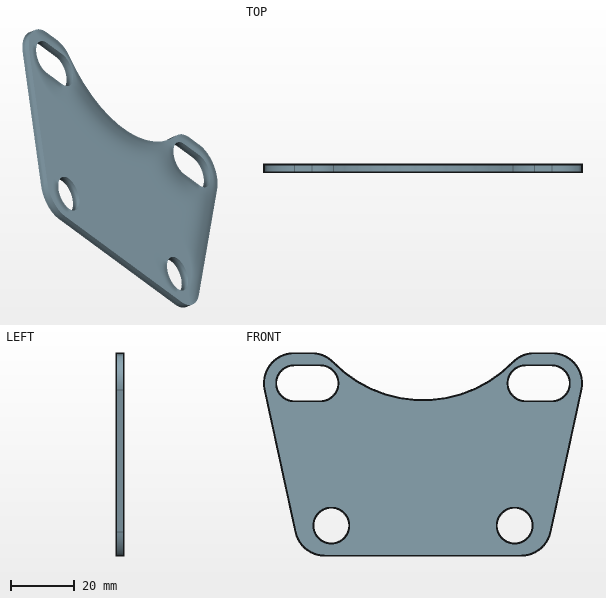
import cadquery as cq
import math

width = 99.7
height = 63.5
thickness = 2.5
corner_radius = 9.5

hole_diameter = 11.2
slot_length = 19.4
hole_spacing = 57.4

bottom_flat = 61.4
ear_flat = 5.5
saddle_radius = 39.2

top_z = height / 2
bottom_z = -height / 2
ear_outer_x = width / 2 - corner_radius
ear_inner_x = ear_outer_x - ear_flat
ear_z = top_z - corner_radius
foot_x = bottom_flat / 2
foot_z = bottom_z + corner_radius

side_angle = -math.atan2(ear_outer_x - foot_x, ear_z - foot_z)

saddle_rise = math.sqrt((saddle_radius + corner_radius) ** 2 - ear_inner_x ** 2)
saddle_bottom = (0, ear_z + saddle_rise - saddle_radius)
saddle_angle = math.atan2(saddle_rise, -ear_inner_x)


def on_rounding(center_x, center_z, angle):
    """Point on a corner rounding, at an angle from +X toward +Z."""
    return (
        center_x + corner_radius * math.cos(angle),
        center_z + corner_radius * math.sin(angle),
    )


def mirrored(point):
    """The same point on the other side of X = 0."""
    return (-point[0], point[1])


def both_sides(x, z):
    return [(-x, z), (x, z)]


def make_plate():
    up = math.pi / 2
    down = -math.pi / 2

    foot_start = (foot_x, bottom_z)
    foot_middle = on_rounding(foot_x, foot_z, (down + side_angle) / 2)
    foot_end = on_rounding(foot_x, foot_z, side_angle)
    ear_start = on_rounding(ear_outer_x, ear_z, side_angle)
    ear_middle = on_rounding(ear_outer_x, ear_z, (side_angle + up) / 2)
    ear_end = (ear_outer_x, top_z)
    inner_start = (ear_inner_x, top_z)
    inner_middle = on_rounding(ear_inner_x, ear_z, (up + saddle_angle) / 2)
    inner_end = on_rounding(ear_inner_x, ear_z, saddle_angle)

    return (
        cq.Workplane("XZ", origin=(0, thickness / 2, 0))
        .moveTo(*foot_start)
        .threePointArc(foot_middle, foot_end)
        .lineTo(*ear_start)
        .threePointArc(ear_middle, ear_end)
        .lineTo(*inner_start)
        .threePointArc(inner_middle, inner_end)
        .threePointArc(saddle_bottom, mirrored(inner_end))
        .threePointArc(mirrored(inner_middle), mirrored(inner_start))
        .lineTo(*mirrored(ear_end))
        .threePointArc(mirrored(ear_middle), mirrored(ear_start))
        .lineTo(*mirrored(foot_end))
        .threePointArc(mirrored(foot_middle), mirrored(foot_start))
        .close()
        .extrude(thickness)
    )


def cut_slots(plate):
    """Slots whose outer ends are concentric with the outer ear roundings."""
    slot_x = ear_outer_x + hole_diameter / 2 - slot_length / 2
    return (
        plate.faces("<Y")
        .workplane(origin=(0, 0, 0))
        .pushPoints(both_sides(slot_x, ear_z))
        .slot2D(slot_length, hole_diameter)
        .cutThruAll()
    )


def cut_holes(plate):
    """Round holes level with the centers of the foot roundings."""
    return (
        plate.faces("<Y")
        .workplane(origin=(0, 0, 0))
        .pushPoints(both_sides(hole_spacing / 2, foot_z))
        .hole(hole_diameter)
    )


result = cut_holes(cut_slots(make_plate()))